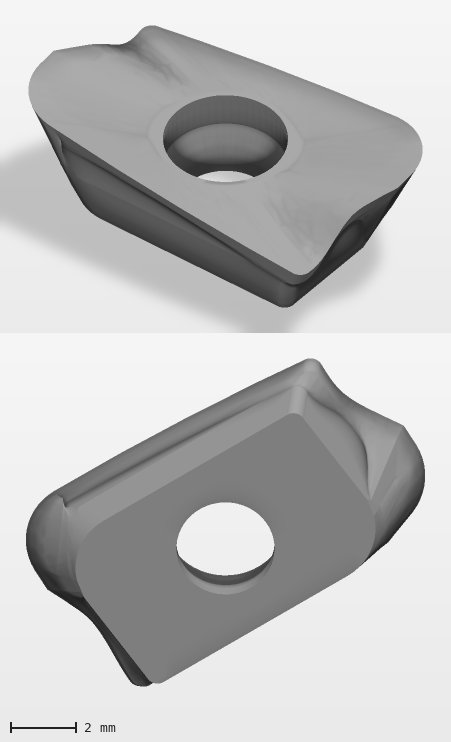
import cadquery as cq
import math


length = 12.0
width = 6.66
height = 3.6

base_x = 4.49
base_nose_y = 0.90
base_y = 2.70
draft = math.tan(math.radians(10))
end_draft = math.tan(math.radians(13))
end_skew = math.tan(math.radians(4.8))
shoulder_z = 1.6
shoulder_y = base_y + draft * shoulder_z

land_z = 2.79
screw_radius = 1.49
head_radius = 1.90
head_seat_top = 1.6
head_seat_bottom = 0.55

edge_slope = 0.129
edge_nose_x = -4.13
edge_nose_z = 3.47
edge_corner_x = 4.75
edge_end_y = 3.22
edge_crown = width / 2 - edge_end_y

band_inset = 0.15
band_nose_x = -3.94
band_nose_z = 2.94
band_corner_x = 4.62
band_corner_z = 1.64
lip_nose_x = -4.10
lip_nose_z = 2.58
lip_corner_x = 4.15
lip_corner_z = 1.44
split_x = 3.20
bow = 0.17


def on_side(x, z):
    """Point on the drafted -Y side of the core."""
    return (x, -base_y - draft * z, z)


def on_end(y, z):
    """Point on the drafted, slightly skewed +X end of the core."""
    return (base_x + end_skew * (y - base_nose_y) + end_draft * z, y, z)


def half_turn(point):
    return (-point[0], -point[1], point[2])


def bowed(x, start_x, start_z, end_x, end_z):
    """Height at x on a falling line that bows upward between its two ends."""
    part = (x - start_x) / (end_x - start_x)
    return start_z + part * (end_z - start_z) + 4 * bow * part * (1 - part)


def on_edge(x):
    """Point on the slightly crowned, falling cutting edge."""
    middle = (edge_nose_x + edge_corner_x) / 2
    half = (edge_corner_x - edge_nose_x) / 2
    y = -edge_end_y - edge_crown * (1 - ((x - middle) / half) ** 2)
    return (x, y, edge_nose_z - edge_slope * (x - edge_nose_x))


def on_band(x):
    """Point on the lower border of the band, under the cutting edge."""
    z = bowed(x, band_nose_x, band_nose_z, band_corner_x, band_corner_z)
    return (x, on_edge(x)[1] + band_inset, z)


def on_lip(x):
    """Point on the lower border of the lip, on the vertical part of the long side."""
    return (x, -shoulder_y, bowed(x, lip_nose_x, lip_nose_z, split_x, shoulder_z))


def line(start, end):
    return cq.Edge.makeLine(cq.Vector(*start), cq.Vector(*end))


def arc(start, middle, end):
    return cq.Edge.makeThreePointArc(cq.Vector(*start), cq.Vector(*middle), cq.Vector(*end))


def curve(*points):
    return cq.Edge.makeSpline([cq.Vector(*point) for point in points])


def strips(upper, lower):
    """Ruled faces between two rows of edges that run the same way."""
    return [cq.Face.makeRuledSurface(a, b) for a, b in zip(upper, lower)]


def flat_face(*edges):
    return cq.Face.makeFromWires(cq.Wire.assembleEdges(list(edges)))


nose_side = (-length / 2, -0.57, height)
nose_start = (-length / 2, -1.32, height)
nose_middle = (-5.43, -2.65, 3.56)
edge_nose = on_edge(edge_nose_x)
edge_corner = on_edge(edge_corner_x)
edge_corner_middle = (5.05, -3.11, 2.30)
edge_end = (5.16, -2.82, 2.29)
far_nose_side = half_turn(nose_side)

edge_row = [
    line(nose_side, nose_start),
    arc(nose_start, nose_middle, edge_nose),
    arc(edge_nose, on_edge((edge_nose_x + split_x) / 2), on_edge(split_x)),
    line(on_edge(split_x), edge_corner),
    arc(edge_corner, edge_corner_middle, edge_end),
    curve(edge_end, (5.16, -1.95, 2.40), (5.22, -1.25, 2.88), (5.33, -0.80, 3.19),
          (5.57, -0.25, 3.40), far_nose_side),
]

land_side = (-2.33, 0.03, land_z)
land_start = (-2.33, -0.30, land_z)
land_corner = (1.22, -1.68, land_z)
land_end = (1.66, -1.25, land_z)
land_nose = (-2.00, -1.30, land_z)
land_split = (0.95, -1.84, land_z)
land_row = [
    line(land_side, land_start),
    curve(land_start, (-2.25, -0.80, land_z), land_nose),
    curve(land_nose, (-1.15, -1.78, land_z), (0, -2.07, land_z), land_split),
    line(land_split, land_corner),
    line(land_corner, land_end),
    curve(land_end, (2.03, -0.65, land_z), half_turn(land_side)),
]

band_side = (-5.75, -0.63, 3.08)
band_start = (-5.20, -1.36, 1.85)
band_corner = on_band(band_corner_x)
band_end = (5.00, -2.72, 1.79)
band_row = [
    line(band_side, band_start),
    curve(band_start, (-4.48, -2.36, 1.23), (-4.02, -2.93, 1.75), on_band(band_nose_x)),
    arc(on_band(band_nose_x), on_band((band_nose_x + split_x) / 2), on_band(split_x)),
    arc(on_band(split_x), on_band((split_x + band_corner_x) / 2), band_corner),
    arc(band_corner, (4.90, -2.97, 1.76), band_end),
    curve(band_end, (4.98, -1.95, 1.92), (5.03, -1.25, 2.42), (5.33, -0.31, 2.85),
          half_turn(band_side)),
]

lip_side = half_turn(on_end(1.04, 0.20))
lip_start = (-4.62, -1.44, 0.50)
lip_nose = on_lip(lip_nose_x)
lip_split = on_lip(split_x)
lip_corner = on_side(lip_corner_x, lip_corner_z)
lip_end = on_end(-2.56, 1.35)
lip_start_line = line(lip_side, lip_start)
lip_nose_curve = curve(lip_start, (-4.26, -2.28, 0.70), (-3.88, -2.85, 1.35), lip_nose)
lip_long_arc = arc(lip_nose, on_lip((lip_nose_x + split_x) / 2), lip_split)
lip_rest_line = line(lip_split, lip_corner)
lip_corner_arc = arc(lip_corner, (4.42, -2.85, 1.38), lip_end)
lip_end_curve = curve(lip_end, on_end(-1.90, 1.60), on_end(-1.25, 2.08), on_end(-0.65, 2.27),
                      on_end(-0.10, 2.20), on_end(0.42, 1.48), half_turn(lip_side))
lip_row = [lip_start_line, lip_nose_curve, lip_long_arc, lip_rest_line, lip_corner_arc, lip_end_curve]

shoulder_side = half_turn(on_end(0.97, 0.10))
shoulder_nose = (-3.40, -shoulder_y, shoulder_z)
shoulder_edge = line(shoulder_nose, lip_split)
shoulder_start = (-4.50, -1.46, 0.25)
shoulder_row = [
    line(shoulder_side, shoulder_start),
    curve(shoulder_start, (-4.13, -2.23, 0.40), shoulder_nose),
]

base_start = (-4.39, -1.47, 0)
base_side = half_turn(on_end(base_nose_y, 0))
base_nose = (-2.69, -base_y, 0)
base_nose_middle = (-3.96, -2.17, 0)
base_corner = (3.82, -base_y, 0)
base_end = on_end(-2.33, 0)
base_start_line = line(base_side, base_start)
base_nose_arc = arc(base_start, base_nose_middle, base_nose)
base_side_line = line(base_nose, base_corner)
base_corner_arc = arc(base_corner, (4.11, -2.60, 0), base_end)
base_end_line = line(base_end, half_turn(base_side))
base_row = [base_start_line, base_nose_arc, base_side_line, base_corner_arc, base_end_line]


def half_skin():
    """All faces of one half, except the land and the seating face."""
    faces = strips(land_row, edge_row) + strips(edge_row, band_row) + strips(band_row, lip_row)
    faces += strips(lip_row[:2], shoulder_row) + strips(shoulder_row, base_row[:2])
    faces += strips([lip_corner_arc], [base_corner_arc])
    faces.append(flat_face(lip_long_arc, shoulder_edge, line(shoulder_nose, lip_nose)))
    faces.append(flat_face(shoulder_edge, lip_rest_line, line(lip_corner, base_corner),
                           base_side_line, line(base_nose, shoulder_nose)))
    far_lip = half_turn(lip_side)
    far_shoulder = half_turn(shoulder_side)
    faces.append(flat_face(lip_end_curve, line(far_lip, far_shoulder),
                           line(far_shoulder, half_turn(base_side)), base_end_line,
                           line(base_end, lip_end)))
    return faces


def turned(shape):
    return shape.rotate(cq.Vector(0, 0, 0), cq.Vector(0, 0, 1), 180)


def insert_body():
    faces = half_skin()
    faces += [turned(face) for face in faces]
    for row in (land_row, base_row):
        faces.append(flat_face(*row, *[turned(edge) for edge in row]))
    return cq.Workplane(obj=cq.Solid.makeSolid(cq.Shell.makeShell(faces)))


def screw_hole():
    """Through hole with a convex seat that runs tangent into the screw bore."""
    step = head_radius - screw_radius
    depth = head_seat_top - head_seat_bottom
    seat_radius = (step ** 2 + depth ** 2) / (2 * step)
    half_angle = math.asin(depth / seat_radius) / 2
    seat_middle = (screw_radius + seat_radius * (1 - math.cos(half_angle)),
                   head_seat_bottom + seat_radius * math.sin(half_angle))
    return (
        cq.Workplane("XZ")
        .moveTo(0, 0)
        .lineTo(screw_radius, 0)
        .lineTo(screw_radius, head_seat_bottom)
        .threePointArc(seat_middle, (head_radius, head_seat_top))
        .lineTo(head_radius, height)
        .lineTo(0, height)
        .close()
        .revolve(360, (0, 0, 0), (0, 1, 0))
    )


result = insert_body().cut(screw_hole())